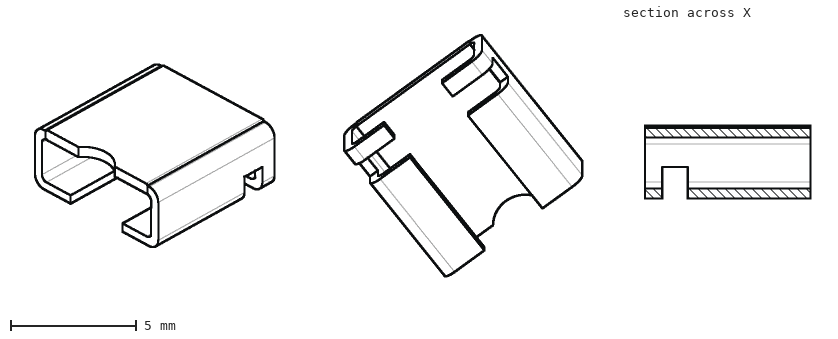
import cadquery as cq

width = 6.9
length = 6.6
height = 2.9

plate_thickness = 0.48
plate_rise = 0.075
notch_radius = 1.28
notch_depth = 0.5

rail_thickness = 0.4
outer_bend_radius = 0.51
inner_bend_radius = 0.25
top_flange = 0.61
bottom_flange = 2.0

slot_width = 1.0
slot_back_margin = 0.7
slot_height = 1.25

plate_edge_radius = plate_rise
plate_width = width - 2 * top_flange
plate_bottom = height - plate_thickness
rail_height = height - plate_rise
rail_inner_top = rail_height - rail_thickness
outer_face = -width / 2
inner_face = outer_face + rail_thickness
plate_edge = outer_face + top_flange
lip_edge = outer_face + bottom_flange
front = -length / 2
back = length / 2


def cover_plate():
    """Flat plate between the rails, with rounded top edges and a notch in front."""
    plate = (
        cq.Workplane("XY")
        .box(plate_width, length, plate_thickness, centered=(True, True, False))
        .translate((0, 0, plate_bottom))
        .edges("|Y and >Z")
        .fillet(plate_edge_radius)
    )
    notch = (
        cq.Workplane("XY", origin=(0, front + notch_depth - notch_radius, plate_bottom))
        .circle(notch_radius)
        .extrude(plate_thickness)
    )
    return plate.cut(notch)


def block_to_lip_edge(left, bottom, top):
    """Full-length block from X = left to the lip's free edge, and from bottom to top in Z."""
    return (
        cq.Workplane("XY")
        .box(lip_edge - left, length, top - bottom, centered=False)
        .translate((left, front, bottom))
    )


def left_rail():
    """C-shaped rail on the -X side: wall, short top flange and long bottom lip."""
    outside = block_to_lip_edge(outer_face, 0, rail_height)
    outside = outside.edges("|Y and <X").fillet(outer_bend_radius)

    inside = block_to_lip_edge(inner_face, rail_thickness, rail_inner_top)
    inside = inside.edges("|Y and <X").fillet(inner_bend_radius)

    above_lip = block_to_lip_edge(plate_edge, rail_height / 2, rail_height)

    slot = (
        cq.Workplane("XY")
        .box(bottom_flange, slot_width, slot_height, centered=False)
        .translate((outer_face, back - slot_back_margin - slot_width, 0))
    )
    return outside.cut(inside).cut(above_lip).cut(slot)


def rail(on_right):
    """One rail; the right one is the mirror image of the left."""
    if on_right:
        return left_rail().mirror("YZ")
    return left_rail()


plate = cover_plate()
rails = [rail(on_right).solids().val() for on_right in (False, True)]

result = cq.Compound.makeCompound([plate.solids().val(), *rails])